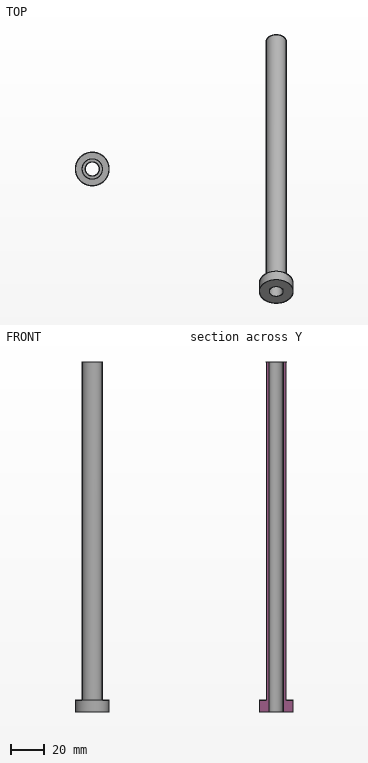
import cadquery as cq

HEAD_DIAMETER = 20.0
HEAD_HEIGHT = 7.0
SLEEVE_DIAMETER = 12.0
SLEEVE_LENGTH = 200.0
BORE_DIAMETER = 8.2
ROOT_FILLET_RADIUS = 0.7

HEAD_RADIUS = HEAD_DIAMETER / 2
SLEEVE_RADIUS = SLEEVE_DIAMETER / 2
BORE_RADIUS = BORE_DIAMETER / 2

HEAD_BOTTOM_Z = -HEAD_HEIGHT
HEAD_TOP_Z = 0.0
TIP_Z = SLEEVE_LENGTH


def make_sleeve():
    """Headed sleeve with a through bore, revolved about Z from its half section."""
    half_section = (
        cq.Workplane("XZ")
        .moveTo(-BORE_RADIUS, HEAD_BOTTOM_Z)
        .lineTo(-HEAD_RADIUS, HEAD_BOTTOM_Z)
        .lineTo(-HEAD_RADIUS, HEAD_TOP_Z)
        .lineTo(-SLEEVE_RADIUS - ROOT_FILLET_RADIUS, HEAD_TOP_Z)
        .radiusArc((-SLEEVE_RADIUS, HEAD_TOP_Z + ROOT_FILLET_RADIUS), -ROOT_FILLET_RADIUS)
        .lineTo(-SLEEVE_RADIUS, TIP_Z)
        .lineTo(-BORE_RADIUS, TIP_Z)
        .close()
    )
    return half_section.revolve(360, (0, 0, 0), (0, 1, 0))


result = make_sleeve()